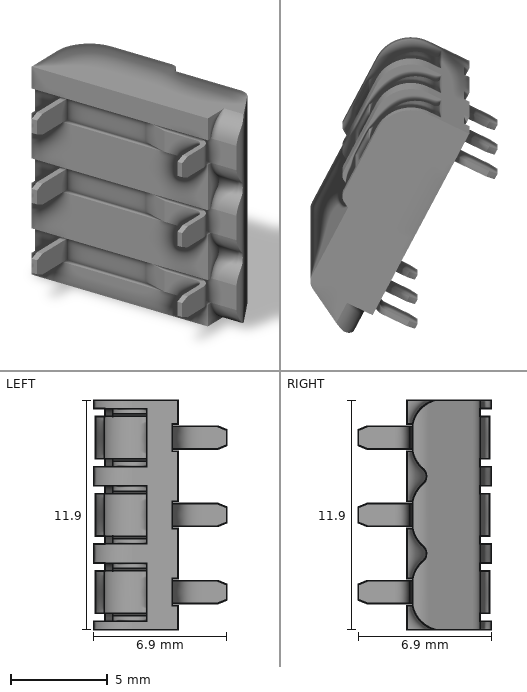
import cadquery as cq
import math


pole_count = 3
pole_pitch = 4.0
body_width = 11.9
pole_centers = [(i - (pole_count - 1) / 2) * pole_pitch for i in range(pole_count)]

length = 12.7
body_height = 4.37
deck_height = 3.78
base_length = 11.1
slope_angle = math.radians(60)
slope_tip_height = 0.85
step_x = 6.1
step_end_x = step_x + (body_height - deck_height) / math.tan(slope_angle)
back_radius = 2.0
step_radius = 0.5
deck_radius = 0.75
tip_radius = 2.25 / 2

channel_width = 1.4
channel_depth = 0.29
barrel_radius = 1.6
barrel_axis_offset = 0.4
valley_radius = 0.5

pocket_width = 3.0
pocket_floor = 3.38
pocket_corner_radius = 0.25
shoulder_radius = 1.38
slot_width = 2.45
slot_floor = 1.61
slot_end = 5.59

lever_width = 2.2
lever_axis_x = 2.13
lever_top = 3.81
lever_radius = 1.77
lever_foot_radius = 0.24
lever_bump_height = 4.28
lever_bump_slope = math.radians(28)
lever_length = 4.57

pin_width = 1.2
pin_tip_width = 0.8
pin_taper = 0.48
pin_tip_y = -2.53
front_pin_x = 1.75
front_pin_thickness = 0.34
strip_thickness = 0.3
rear_pin_x = 11.24
bend_radius = 0.45
strip_face_y = -0.17
ramp_start_x = 6.97
ramp_end_x = 8.5


def prism(outline, center_z, width):
    """Extrude a closed XY outline symmetrically about center_z."""
    return outline.extrude(width / 2, both=True).translate((0, 0, center_z))


def block(x0, x1, y0, y1, z_center, width):
    """Axis-aligned box spanning x0..x1 and y0..y1, centred on z_center."""
    solid = cq.Workplane("XY").box(x1 - x0, y1 - y0, width, centered=(False, False, True))
    return solid.translate((x0, y0, z_center))


def side_prism():
    """Full-width housing with its rounded side outline."""
    deck_end_x = length - (deck_height - slope_tip_height) / math.tan(slope_angle)
    outline = (
        cq.Workplane("XY")
        .polyline(
            [
                (0, 0),
                (base_length, 0),
                (base_length, channel_depth),
                (length, channel_depth),
                (length, slope_tip_height),
                (deck_end_x, deck_height),
                (step_end_x, deck_height),
                (step_x, body_height),
                (0, body_height),
            ]
        )
        .close()
    )
    rounded = prism(outline, 0, body_width)
    for x, y, radius in [
        (0, body_height, back_radius),
        (step_x, body_height, step_radius),
        (deck_end_x, deck_height, deck_radius),
        (length, slope_tip_height, tip_radius),
    ]:
        rounded = rounded.edges(cq.selectors.NearestToPointSelector((x, y, 0))).fillet(radius)
    return rounded


def nose_prism():
    """Wire-entry nose: one rounded barrel per pole, joined by concave valleys."""
    half_flat = channel_width / 2
    side_z = body_width / 2
    flat_angle = math.asin((half_flat - barrel_axis_offset) / barrel_radius)
    axis_y = channel_depth + barrel_radius * math.cos(flat_angle)
    side_angle = math.asin((side_z - pole_centers[-1] - barrel_axis_offset) / barrel_radius)
    axis_spacing = barrel_radius + valley_radius
    valley_angle = math.asin((pole_pitch / 2 - barrel_axis_offset) / axis_spacing)
    valley_top = axis_y - axis_spacing * math.cos(valley_angle) + valley_radius

    def barrel_point(center, side, angle):
        z = center + side * (barrel_axis_offset + barrel_radius * math.sin(angle))
        return (axis_y - barrel_radius * math.cos(angle), z)

    path = cq.Workplane("YZ").moveTo(body_height, -side_z)
    for center in pole_centers:
        first = center == pole_centers[0]
        last = center == pole_centers[-1]
        start_angle = side_angle if first else valley_angle
        end_angle = side_angle if last else valley_angle
        if first:
            path = path.lineTo(*barrel_point(center, -1, start_angle))
        path = (
            path.threePointArc(
                barrel_point(center, -1, (start_angle + flat_angle) / 2),
                barrel_point(center, -1, flat_angle),
            )
            .lineTo(*barrel_point(center, 1, flat_angle))
            .threePointArc(
                barrel_point(center, 1, (flat_angle + end_angle) / 2),
                barrel_point(center, 1, end_angle),
            )
        )
        if not last:
            path = path.threePointArc(
                (valley_top, center + pole_pitch / 2),
                barrel_point(center + pole_pitch, -1, valley_angle),
            )
    path = path.lineTo(body_height, side_z).close()
    return path.extrude(length)


def housing():
    """Side outline with the nose barrels formed beyond the base."""
    sides = side_prism()
    nose_space = block(base_length, length, 0, body_height, 0, body_width)
    return sides.cut(nose_space.cut(nose_prism()))


def pole_cavity(z):
    """Channel on the board side, plus the lever pocket and slot at the back."""
    channel = block(0, length, 0, channel_depth, z, channel_width)
    pocket = (
        block(0, step_end_x, slot_floor, deck_height, z, pocket_width)
        .edges("|Y and >X")
        .fillet(pocket_corner_radius)
    )
    deck_gap = block(0, step_end_x, deck_height, body_height, z, pocket_width)
    slot = block(0, slot_end, slot_floor, body_height, z, slot_width)
    shoulder_x = lever_axis_x - shoulder_radius
    shoulder = (
        block(shoulder_x, length, slot_floor, pocket_floor, z, body_width)
        .edges("|Z and <X and >Y")
        .fillet(shoulder_radius)
    )
    return channel.union(pocket.cut(shoulder)).union(deck_gap).union(slot)


def lever(z):
    """Round-backed lever with a ramped thumb bump and a flared foot."""
    back_x = lever_axis_x - lever_radius
    axis_y = lever_top - lever_radius
    diagonal = lever_radius * math.sqrt(0.5)
    bump_x = lever_axis_x + (lever_bump_height - lever_top) / math.tan(lever_bump_slope)
    foot_y = slot_floor + lever_foot_radius
    foot_sag = lever_foot_radius * (1 - math.sqrt(0.5))
    outline = (
        cq.Workplane("XY")
        .moveTo(back_x - lever_foot_radius, slot_floor)
        .threePointArc((back_x - foot_sag, slot_floor + foot_sag), (back_x, foot_y))
        .lineTo(back_x, axis_y)
        .threePointArc((lever_axis_x - diagonal, axis_y + diagonal), (lever_axis_x, lever_top))
        .lineTo(bump_x, lever_bump_height)
        .lineTo(lever_length, lever_bump_height)
        .lineTo(lever_length, slot_floor)
        .close()
    )
    return prism(outline, z, lever_width)


def pin_width_outline(z):
    """Pin face in the YZ plane: parallel sides with a tapered tip."""
    half = pin_width / 2
    tip_half = pin_tip_width / 2
    taper_y = pin_tip_y + pin_taper
    return (
        cq.Workplane("YZ")
        .polyline(
            [
                (channel_depth, z - half),
                (taper_y, z - half),
                (pin_tip_y, z - tip_half),
                (pin_tip_y, z + tip_half),
                (taper_y, z + half),
                (channel_depth, z + half),
            ]
        )
        .close()
        .extrude(length)
    )


def pins(z):
    """Straight front pin and the bent strip that forms the rear pin."""
    front = block(
        front_pin_x, front_pin_x + front_pin_thickness, pin_tip_y, channel_depth, z, pin_width
    )
    inner_x = rear_pin_x - strip_thickness
    outer_radius = bend_radius + strip_thickness
    strip_back_y = strip_face_y + strip_thickness
    bend_x = inner_x - bend_radius
    bend_y = strip_face_y - bend_radius
    cos45 = math.sqrt(0.5)
    ramp_slope = (channel_depth - strip_face_y) / (ramp_end_x - ramp_start_x)
    ramp_back_x = ramp_end_x + strip_thickness * math.tan(math.atan(ramp_slope) / 2)
    root_x = ramp_back_x - (channel_depth - strip_back_y) / ramp_slope
    strip = (
        cq.Workplane("XY")
        .moveTo(ramp_start_x, channel_depth)
        .lineTo(ramp_end_x, strip_face_y)
        .lineTo(bend_x, strip_face_y)
        .threePointArc((bend_x + bend_radius * cos45, bend_y + bend_radius * cos45), (inner_x, bend_y))
        .lineTo(inner_x, pin_tip_y)
        .lineTo(rear_pin_x, pin_tip_y)
        .lineTo(rear_pin_x, bend_y)
        .threePointArc(
            (bend_x + outer_radius * cos45, bend_y + outer_radius * cos45), (bend_x, strip_back_y)
        )
        .lineTo(ramp_back_x, strip_back_y)
        .lineTo(root_x, channel_depth)
        .close()
    )
    return front.union(prism(strip, z, pin_width)).intersect(pin_width_outline(z))


result = housing()
for pole_z in pole_centers:
    result = result.cut(pole_cavity(pole_z)).union(lever(pole_z)).union(pins(pole_z))